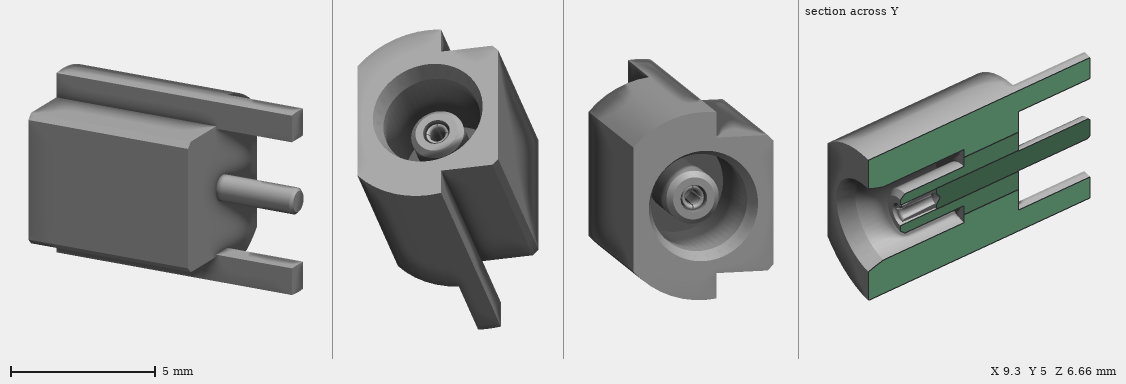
import cadquery as cq
import math

overall_length = 9.3
housing_length = 6.31

outer_radius = 3.33
half_width = 2.5
shoulder_height = 2.4
shoulder_chamfer = 0.2
contact_radius = 0.47
leg_front_y = -contact_radius
leg_width = 0.81
leg_inner_z = 2.32

mouth_radius = 1.95
bore_radius = 1.72
mouth_taper_length = 0.63
bore_depth = 4.0

insulator_radius = 1.34
nose_radius = 0.94
nose_tip_radius = 0.74
nose_start_x = 1.34
nose_chamfer_length = 0.195

tip_x = 1.45
tip_radius = 0.38
finger_length = 1.395
slot_tip_width = 0.03
slot_root_width = 0.1
socket_radius = 0.27
socket_depth = 1.395
drill_point_length = 0.16
lip_radius = tip_radius - socket_radius
tail_chamfer = 0.09


def revolve_about_x(profile):
    """Revolve a closed list of (x, radius) points about the X axis."""
    return cq.Workplane("XY").polyline(profile).close().revolve(360, (0, 0, 0), (1, 0, 0))


def make_housing_block():
    flat_edge_z = math.sqrt(outer_radius**2 - half_width**2)
    step_z = math.sqrt(outer_radius**2 - leg_front_y**2)
    outline = (
        cq.Workplane("YZ")
        .moveTo(half_width, -flat_edge_z)
        .lineTo(half_width, flat_edge_z)
        .threePointArc((0, outer_radius), (leg_front_y, step_z))
        .lineTo(leg_front_y, shoulder_height)
        .lineTo(shoulder_chamfer - half_width, shoulder_height)
        .lineTo(-half_width, shoulder_height - shoulder_chamfer)
        .lineTo(-half_width, shoulder_chamfer - shoulder_height)
        .lineTo(shoulder_chamfer - half_width, -shoulder_height)
        .lineTo(leg_front_y, -shoulder_height)
        .lineTo(leg_front_y, -step_z)
        .threePointArc((0, -outer_radius), (half_width, -flat_edge_z))
    )
    return outline.close().extrude(housing_length)


def make_leg(side):
    """Board leg above (side = 1) or below (side = -1) the axis, with a round outer face."""
    leg_back_y = leg_front_y + leg_width
    front_z = math.sqrt(outer_radius**2 - leg_front_y**2)
    back_z = math.sqrt(outer_radius**2 - leg_back_y**2)
    outline = (
        cq.Workplane("YZ", origin=(housing_length, 0, 0))
        .moveTo(leg_front_y, side * leg_inner_z)
        .lineTo(leg_front_y, side * front_z)
        .threePointArc((0, side * outer_radius), (leg_back_y, side * back_z))
        .lineTo(leg_back_y, side * leg_inner_z)
    )
    return outline.close().extrude(overall_length - housing_length)


def make_housing():
    housing = make_housing_block()
    for side in (1, -1):
        housing = housing.union(make_leg(side))
    cavity = revolve_about_x([
        (0, 0),
        (0, mouth_radius),
        (mouth_taper_length, bore_radius),
        (bore_depth, bore_radius),
        (bore_depth, insulator_radius),
        (housing_length, insulator_radius),
        (housing_length, 0),
    ])
    return housing.cut(cavity)


def make_insulator():
    """Sleeve around the contact, with a chamfered nose inside the bore."""
    return revolve_about_x([
        (nose_start_x, contact_radius),
        (nose_start_x, nose_tip_radius),
        (nose_start_x + nose_chamfer_length, nose_radius),
        (bore_depth, nose_radius),
        (bore_depth, insulator_radius),
        (housing_length, insulator_radius),
        (housing_length, contact_radius),
    ])


def make_contact():
    """Round pin with a chamfered tail and a socket split into four inward-tapered fingers."""
    finger_root_x = tip_x + finger_length
    socket_end_x = tip_x + socket_depth
    lip_end_x = tip_x + lip_radius
    lip_bulge = lip_radius * math.sqrt(0.5)
    profile = (
        cq.Workplane("XY")
        .moveTo(tip_x, tip_radius)
        .lineTo(finger_root_x, contact_radius)
        .lineTo(overall_length - tail_chamfer, contact_radius)
        .lineTo(overall_length, contact_radius - tail_chamfer)
        .lineTo(overall_length, 0)
        .lineTo(socket_end_x + drill_point_length, 0)
        .lineTo(socket_end_x, socket_radius)
        .lineTo(lip_end_x, socket_radius)
        .threePointArc((lip_end_x - lip_bulge, tip_radius - lip_bulge), (tip_x, tip_radius))
        .close()
    )
    contact = profile.revolve(360, (0, 0, 0), (1, 0, 0))
    slot = (
        cq.Workplane("XY")
        .polyline([
            (tip_x, -slot_tip_width / 2),
            (finger_root_x, -slot_root_width / 2),
            (finger_root_x, slot_root_width / 2),
            (tip_x, slot_tip_width / 2),
        ])
        .close()
        .extrude(contact_radius, both=True)
    )
    for angle in (0, 90):
        contact = contact.cut(slot.rotate((0, 0, 0), (1, 0, 0), angle))
    return contact


housing = make_housing()
insulator = make_insulator()
contact = make_contact()

bodies = [body.solids().val() for body in (housing, insulator, contact)]
result = cq.Compound.makeCompound(bodies)